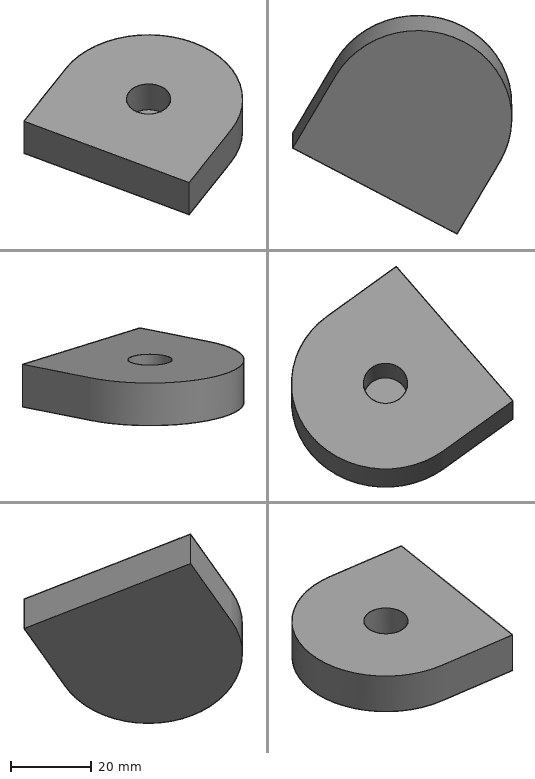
import cadquery as cq

width = 47.0
straight_length = 22.0
thickness = 11.0
hole_diameter = 11.0
hole_depth = 8.8

end_radius = width / 2

plate = (
    cq.Workplane("XY")
    .moveTo(-end_radius, -straight_length)
    .lineTo(end_radius, -straight_length)
    .lineTo(end_radius, 0)
    .threePointArc((0, end_radius), (-end_radius, 0))
    .close()
    .extrude(thickness)
)

hole = (
    cq.Workplane("XY")
    .workplane(offset=thickness - hole_depth)
    .circle(hole_diameter / 2)
    .extrude(hole_depth)
)

result = plate.cut(hole)